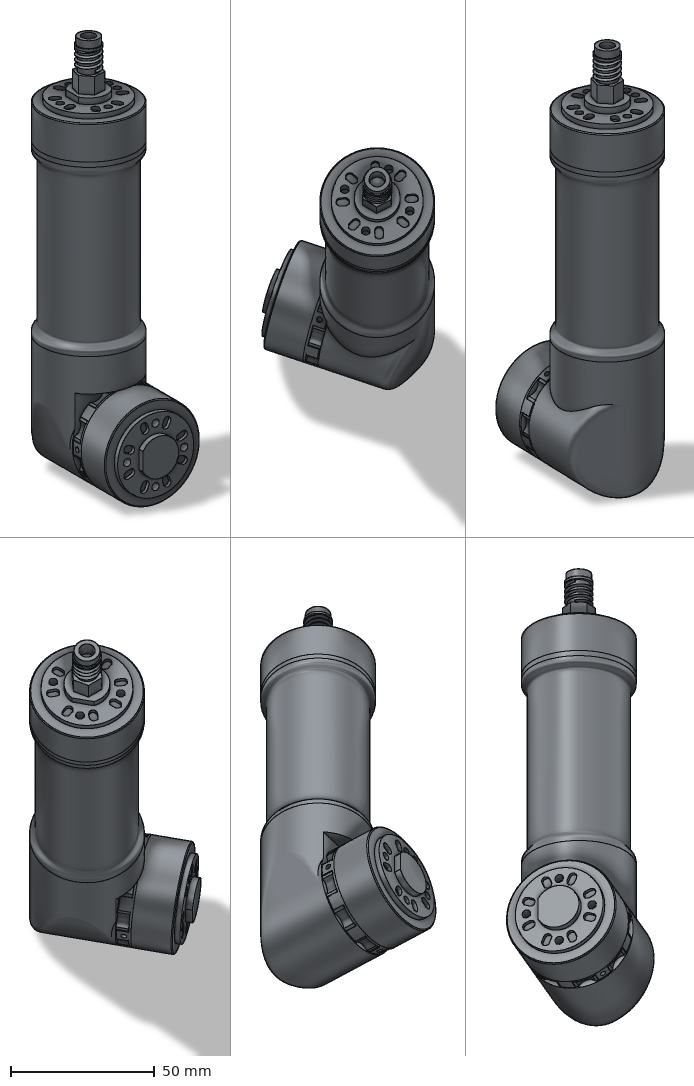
import cadquery as cq
import math


BODY_R = 20.0
TUBE_R = 18.0
SIDE_AXIS_Y = 4.0

TUBE_BOTTOM = 34.15
TUBE_TOP = 105.85
SPACER_HEIGHT = 2.0
UPPER_CAP_BASE = TUBE_TOP + SPACER_HEIGHT
TOP_Z = 147.17

SIDE_TIP_X = 38.05
ELBOW_END_X = 13.4

END_FACE_ANGLE = math.radians(20)
SLOPE_ANGLE = math.radians(15)
ELBOW_FILLET = 3.0
UPRIGHT_START = 13.2

COLLAR_LAND = 1.2
COLLAR_BLEND_R = 2.0

CAP_HEIGHT = 14.65
CAP_CHAMFER = 0.4
DISC_R = 16.0
DISC_RISE = 2.0
DISC_SEAT = 5.0
HUB_R = 8.0
HUB_HEIGHT = 2.5
HUB_FLAT = 7.0
HOLE_CIRCLE_R = 12.0
SCREW_HOLE_COUNT = 4
SCREW_HOLE_D = 3.0
SCREW_HOLE_DEPTH = 4.5
DRILL_TIP_DEPTH = 0.9
SLOT_COUNT = 8
SLOT_WIDTH = 3.0
SLOT_LENGTH = 4.6
SLOT_DEPTH = 1.5

SIDE_CAP_BASE = SIDE_TIP_X - HUB_HEIGHT - DISC_RISE - CAP_HEIGHT
HUB_TOP_Z = UPPER_CAP_BASE + CAP_HEIGHT + DISC_RISE + HUB_HEIGHT

RING_LENGTH = SIDE_CAP_BASE - ELBOW_END_X
RING_CHAMFER = 0.4
RING_LIP = 0.9
WINDOW_COUNT = 9
WINDOW_WIDTH = 8.6
WINDOW_FLOOR_R = 19.5
WINDOW_START_ANGLE = 20.0
SCOOP_WIDTH = 6.2
SCOOP_R = 4.0
RING_HOLE_COUNT = 3
RING_HOLE_D = 2.0
RING_HOLE_DEPTH = 2.0
RING_HOLE_FROM_ELBOW = 3.0

HEX_CORNER_D = 11.5
HEX_HEIGHT = 7.0
HEX_TURN = 13.0
THREAD_CORE_R = 4.0
THREAD_CREST_R = 5.0
THREAD_PITCH = 2.0
THREAD_TURNS = 4
THREAD_ROOT_WIDTH = 1.3
THREAD_START = 0.9
THREAD_EMBED = 0.2
PLUG_R = 4.5
PLUG_HEIGHT = 3.0
COLLAR_HEIGHT = 1.0
PLUG_BORE_R = 2.8
PLUG_BORE_DEPTH = 6.0


def to_side_axis(body):
    """Move a body built around +Z onto the side axis, pointing along +X."""
    return body.rotate((0, 0, 0), (0, 1, 0), 90).translate((0, SIDE_AXIS_Y, 0))


def make_elbow():
    side_y_max = SIDE_AXIS_Y + BODY_R
    tangent_x = -BODY_R * math.cos(END_FACE_ANGLE)
    tangent_y = BODY_R * math.sin(END_FACE_ANGLE)
    corner_x = tangent_x + (side_y_max - tangent_y) * math.tan(END_FACE_ANGLE)
    plan = (
        cq.Workplane("XY", origin=(0, 0, -BODY_R))
        .moveTo(tangent_x, tangent_y)
        .threePointArc((0, -BODY_R), (BODY_R, 0))
        .lineTo(BODY_R, side_y_max)
        .lineTo(corner_x, side_y_max)
        .close()
        .extrude(2 * BODY_R)
    )

    slope_y = SIDE_AXIS_Y - BODY_R * math.cos(SLOPE_ANGLE)
    slope_z = -BODY_R * math.sin(SLOPE_ANGLE)
    diagonal = math.sqrt(0.5)
    slope_end_y = slope_y - (BODY_R - slope_z) * math.tan(SLOPE_ANGLE)
    profile = (
        cq.Workplane("YZ", origin=(-BODY_R, 0, 0))
        .moveTo(slope_y, slope_z)
        .lineTo(slope_end_y, BODY_R)
        .lineTo(SIDE_AXIS_Y, BODY_R)
        .threePointArc((side_y_max, 0), (SIDE_AXIS_Y, -BODY_R))
        .threePointArc((SIDE_AXIS_Y - BODY_R * diagonal, -BODY_R * diagonal), (slope_y, slope_z))
        .close()
        .extrude(2 * BODY_R)
    )
    knee = profile.intersect(plan).edges("%ELLIPSE").fillet(ELBOW_FILLET)

    upright_leg = (
        cq.Workplane("XY")
        .circle(BODY_R)
        .extrude(TUBE_BOTTOM)
        .cut(cq.Workplane("XY").box(2 * BODY_R, BODY_R, 2 * UPRIGHT_START).translate((0, -BODY_R / 2, 0)))
    )
    side_leg = (
        cq.Workplane("YZ")
        .center(SIDE_AXIS_Y, 0)
        .circle(BODY_R)
        .extrude(ELBOW_END_X)
    )

    seat = cq.Workplane("XY").box(BODY_R, 4 * BODY_R, 2 * BODY_R).translate((ELBOW_END_X + BODY_R / 2, 0, 0))
    return knee.union(upright_leg, clean=False).union(side_leg, clean=False).cut(seat)


def make_tube():
    diagonal = math.sqrt(0.5)
    round_rise = COLLAR_BLEND_R * diagonal
    round_step = COLLAR_BLEND_R * (1 - diagonal)
    straight = BODY_R - TUBE_R - 2 * round_step
    mid_rise = COLLAR_BLEND_R * math.sin(math.pi / 8)
    mid_step = COLLAR_BLEND_R * (1 - math.cos(math.pi / 8))

    shoulder_end = TUBE_TOP - COLLAR_LAND
    cone_end = shoulder_end - round_rise
    cone_start = cone_end - straight
    shoulder_start = cone_start - round_rise
    collar = (
        cq.Workplane("XZ")
        .moveTo(0, shoulder_start)
        .lineTo(TUBE_R, shoulder_start)
        .threePointArc((TUBE_R + mid_step, shoulder_start + mid_rise), (TUBE_R + round_step, cone_start))
        .lineTo(BODY_R - round_step, cone_end)
        .threePointArc((BODY_R - mid_step, shoulder_end - mid_rise), (BODY_R, shoulder_end))
        .lineTo(BODY_R, TUBE_TOP)
        .lineTo(0, TUBE_TOP)
        .close()
        .revolve(360, (0, 0, 0), (0, 1, 0))
    )
    middle = (TUBE_BOTTOM + TUBE_TOP) / 2
    lower_collar = collar.mirror("XY", (0, 0, middle))
    slim_length = 2 * (shoulder_start - middle)
    slim = cq.Workplane("XY", origin=(0, 0, middle)).cylinder(slim_length, TUBE_R)
    return slim.union(collar).union(lower_collar)


def make_spacer():
    return cq.Workplane("XY", origin=(0, 0, TUBE_TOP)).circle(BODY_R).extrude(SPACER_HEIGHT)


def make_scalloped_ring():
    """Ring around Z with its elbow end at Z = 0; windows are open towards the elbow."""
    ring = cq.Workplane("XY").circle(BODY_R).extrude(RING_LENGTH).faces("<Z").chamfer(RING_CHAMFER)
    window_length = RING_LENGTH - RING_LIP
    window = (
        cq.Workplane("XY")
        .center(0, -BODY_R)
        .rect(WINDOW_WIDTH, BODY_R)
        .extrude(window_length)
        .cut(cq.Workplane("XY").circle(WINDOW_FLOOR_R).extrude(window_length))
    )
    scoop_y = -math.sqrt(WINDOW_FLOOR_R**2 - (SCOOP_WIDTH / 2) ** 2)
    scoop_centre_y = scoop_y - math.sqrt(SCOOP_R**2 - (SCOOP_WIDTH / 2) ** 2)
    scoop = cq.Workplane("XY").center(0, scoop_centre_y).circle(SCOOP_R).extrude(window_length)
    window = window.union(scoop)
    for index in range(WINDOW_COUNT):
        angle = WINDOW_START_ANGLE + index * 360 / WINDOW_COUNT
        ring = ring.cut(window.rotate((0, 0, 0), (0, 0, 1), angle))

    hole = (
        cq.Workplane("XZ", origin=(0, -BODY_R + RING_HOLE_DEPTH, RING_HOLE_FROM_ELBOW))
        .circle(RING_HOLE_D / 2)
        .extrude(2 * RING_HOLE_DEPTH)
    )
    for index in range(RING_HOLE_COUNT):
        ring = ring.cut(hole.rotate((0, 0, 0), (0, 0, 1), index * 360 / RING_HOLE_COUNT))
    return ring


def make_cap():
    """Cap around Z with its base at Z = 0 and a seat for the output disc on top."""
    return (
        cq.Workplane("XY")
        .circle(BODY_R)
        .extrude(CAP_HEIGHT)
        .faces(">Z")
        .chamfer(CAP_CHAMFER)
        .faces(">Z")
        .workplane()
        .circle(DISC_R)
        .cutBlind(-DISC_SEAT)
    )


def make_output_disc():
    """Disc with a flatted hub, placed for a cap whose base is at Z = 0."""
    disc_top = CAP_HEIGHT + DISC_RISE
    disc = cq.Workplane("XY", origin=(0, 0, disc_top)).circle(DISC_R).extrude(-DISC_RISE - DISC_SEAT)
    hub = cq.Workplane("XY", origin=(0, 0, disc_top)).circle(HUB_R).extrude(HUB_HEIGHT)
    beyond_flat = (
        cq.Workplane("XY", origin=(0, -HUB_FLAT - HUB_R / 2, disc_top))
        .rect(2 * HUB_R, HUB_R)
        .extrude(HUB_HEIGHT)
    )
    hole_r = SCREW_HOLE_D / 2
    screw_hole = (
        cq.Workplane("XZ")
        .moveTo(0, disc_top)
        .lineTo(hole_r, disc_top)
        .lineTo(hole_r, disc_top - SCREW_HOLE_DEPTH)
        .lineTo(0, disc_top - SCREW_HOLE_DEPTH - DRILL_TIP_DEPTH)
        .close()
        .revolve(360, (0, 0, 0), (0, 1, 0))
        .translate((HOLE_CIRCLE_R, 0, 0))
    )
    slot = (
        cq.Workplane("XY", origin=(HOLE_CIRCLE_R, 0, disc_top))
        .slot2D(SLOT_LENGTH, SLOT_WIDTH)
        .extrude(-SLOT_DEPTH)
    )
    for index in range(SCREW_HOLE_COUNT):
        disc = disc.cut(screw_hole.rotate((0, 0, 0), (0, 0, 1), index * 360 / SCREW_HOLE_COUNT))
    for index in range(SLOT_COUNT):
        angle = (index + 0.5) * 360 / SLOT_COUNT
        disc = disc.cut(slot.rotate((0, 0, 0), (0, 0, 1), angle))
    return disc.union(hub.cut(beyond_flat))


def make_thread(start_z):
    root_r = THREAD_CORE_R - THREAD_EMBED
    half_root = THREAD_ROOT_WIDTH / 2
    path = cq.Wire.makeHelix(THREAD_PITCH, THREAD_PITCH * THREAD_TURNS, root_r)
    thread = (
        cq.Workplane("XZ")
        .polyline([(root_r, -half_root), (THREAD_CREST_R, 0), (root_r, half_root)])
        .close()
        .sweep(cq.Workplane(path), isFrenet=True)
    )
    return thread.translate((0, 0, start_z))


def make_connector():
    hex_top = HUB_TOP_Z + HEX_HEIGHT
    plug_base = TOP_Z - PLUG_HEIGHT
    hexagon = (
        cq.Workplane("XY", origin=(0, 0, HUB_TOP_Z))
        .polygon(6, HEX_CORNER_D)
        .extrude(HEX_HEIGHT)
        .rotate((0, 0, 0), (0, 0, 1), -HEX_TURN)
    )
    core = cq.Workplane("XY", origin=(0, 0, hex_top)).circle(THREAD_CORE_R).extrude(plug_base - hex_top)
    collar = cq.Workplane("XY", origin=(0, 0, plug_base)).circle(THREAD_CREST_R).extrude(-COLLAR_HEIGHT)
    plug = cq.Workplane("XY", origin=(0, 0, plug_base)).circle(PLUG_R).extrude(PLUG_HEIGHT)
    bore = cq.Workplane("XY", origin=(0, 0, TOP_Z)).circle(PLUG_BORE_R).extrude(-PLUG_BORE_DEPTH)
    body = hexagon.union(core).union(collar).union(plug).cut(bore)
    return body.union(make_thread(hex_top + THREAD_START))


elbow = make_elbow()
tube = make_tube()
spacer = make_spacer()
connector = make_connector()
side_ring = to_side_axis(make_scalloped_ring()).translate((ELBOW_END_X, 0, 0))

caps_and_discs = []
for build in (make_cap, make_output_disc):
    caps_and_discs.append(build().translate((0, 0, UPPER_CAP_BASE)))
    caps_and_discs.append(to_side_axis(build()).translate((SIDE_CAP_BASE, 0, 0)))

result = cq.Compound.makeCompound(
    [
        elbow.val(),
        tube.val(),
        spacer.val(),
        side_ring.val(),
        connector.val(),
        *[body.val() for body in caps_and_discs],
    ]
)